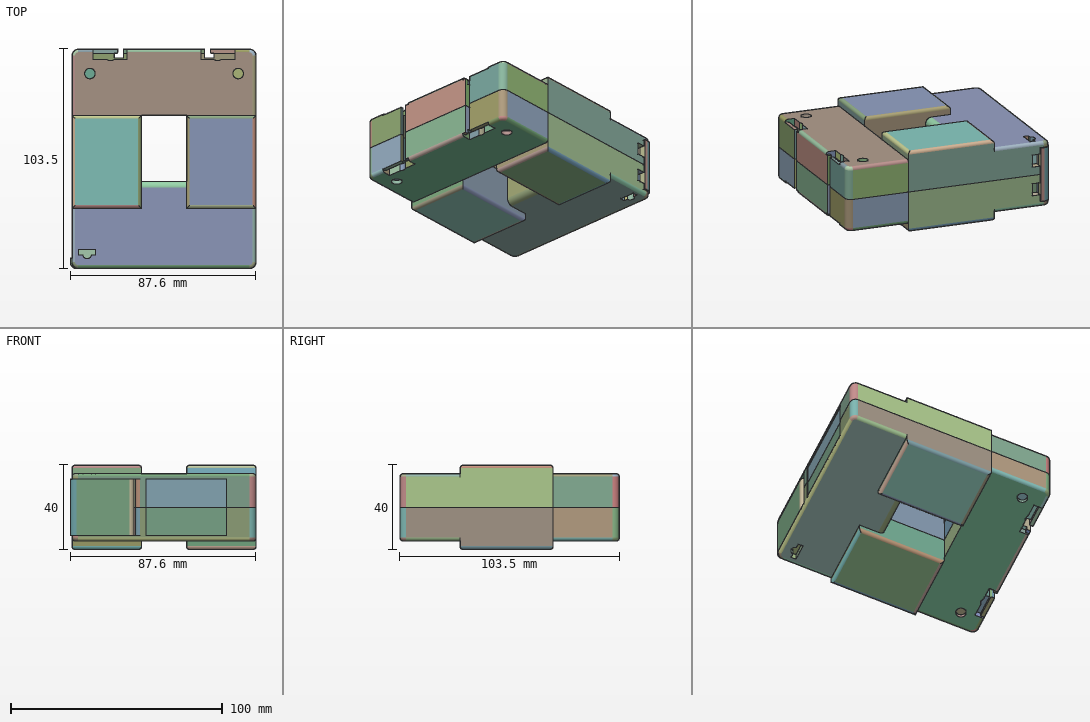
import cadquery as cq


length = 103.5
width = 86.8
half_height = 15.9
corner_radius = 3.0
edge_radius = 1.6
front_y = -length / 2
back_y = length / 2
left_x = -width / 2
split_y = back_y - 31.3

limb_half_height = 20.0
limb_length = 43.9
window_width = 21.2
window_length = 31.2
window_edge_radius = 3.0
limb_width = (width - window_width) / 2

screw_hole_diameter = 5.0
screw_hole_depth = 2.1
screw_hole_x = 35.0
screw_hole_y = back_y - 11.5

pocket_inner_x = 17.4
pocket_length = 16.1
pocket_width = 4.9
pocket_depth = 3.6
pocket_outer_x = pocket_inner_x + pocket_length
clip_wall = 2.0
clip_wall_drop = 1.3
clip_slot_x = pocket_inner_x + 1.8
clip_slot_length = 4.3
clip_slot_width = 2.1
clip_gap = 2.7
clip_tip_radius = 0.7
bulge_length = 3.5
bulge_height = 0.5

arrow_width = 8.0
arrow_bar = 2.5
arrow_round_diameter = 4.1
arrow_round_inset = 0.3
arrow_depth = 4.1
arrow_x = left_x + 7.1
arrow_bar_y = front_y + 6.4

label_left_x = left_x + 35.0
label_length = 37.9
label_depth = 0.5

cover_half_height = 13.4
cover_thickness = 3.1
cover_protrusion = 0.8
cover_corner_radius = 3.0
cover_side_length = 5.0
cover_end_radius = 2.1
cover_left_x = left_x - cover_protrusion
cover_right_x = left_x + 29.3
recess_gap = 0.7
recess_lip_radius = 2.1

latch_slot_length = 3.9
latch_slot_height = 6.0
latch_slot_depth = 4.1
latch_slot_z = 7.1


def block(x_min, x_max, y_min, y_max, z_min, z_max):
    """Box given by its limits along each axis."""
    size = (x_max - x_min, y_max - y_min, z_max - z_min)
    return cq.Workplane("XY").box(*size, centered=False).translate((x_min, y_min, z_min))


def both_sides(shape):
    """The shape together with its mirror image across the YZ plane."""
    return shape.union(shape.mirror("YZ"))


def upper_housing():
    """Rounded upper half of the housing, without the raised limbs."""
    body = block(left_x, -left_x, front_y, back_y, 0, half_height)
    return body.edges("|Z").fillet(corner_radius).faces(">Z").edges().fillet(edge_radius)


def limb():
    """Left raised limb, rounded around its top face."""
    body = block(left_x, left_x + limb_width, split_y - limb_length, split_y, 0, limb_half_height)
    return body.faces(">Z").edges().fillet(edge_radius)


def screw_holes():
    hole = (
        cq.Workplane("XY", origin=(screw_hole_x, screw_hole_y, half_height - screw_hole_depth))
        .circle(screw_hole_diameter / 2)
        .extrude(screw_hole_depth)
    )
    return both_sides(hole)


def clip_pockets():
    """Stepped pocket behind a lowered clip wall, with a hooked slot right through."""
    pocket_y = back_y - pocket_width
    wall_y = back_y - clip_wall
    slot_outer_x = clip_slot_x + clip_slot_length
    gap_outer_x = clip_slot_x + clip_gap
    floor_z = half_height - pocket_depth

    wall_top = block(
        pocket_inner_x, pocket_outer_x, wall_y, back_y, half_height - clip_wall_drop, half_height
    )
    pocket = block(pocket_inner_x, pocket_outer_x, pocket_y, wall_y, floor_z, half_height)
    bulge = (
        cq.Workplane("XY", origin=(0, 0, floor_z))
        .moveTo(slot_outer_x, pocket_y)
        .threePointArc(
            (slot_outer_x + bulge_length / 2, pocket_y - bulge_height),
            (slot_outer_x + bulge_length, pocket_y),
        )
        .close()
        .extrude(pocket_depth)
    )
    slot = (
        cq.Workplane("XY")
        .moveTo(clip_slot_x, back_y)
        .lineTo(clip_slot_x, wall_y - clip_slot_width)
        .lineTo(slot_outer_x, wall_y - clip_slot_width)
        .lineTo(slot_outer_x, wall_y)
        .lineTo(gap_outer_x + clip_tip_radius, wall_y)
        .radiusArc((gap_outer_x, wall_y + clip_tip_radius), clip_tip_radius)
        .lineTo(gap_outer_x, back_y)
        .close()
        .extrude(half_height)
    )
    return both_sides(wall_top.union(pocket).union(bulge).union(slot))


def arrow_pocket():
    """Bar with a round nose pointing to the front."""
    floor_z = half_height - arrow_depth
    bar = block(
        arrow_x - arrow_width / 2, arrow_x + arrow_width / 2,
        arrow_bar_y, arrow_bar_y + arrow_bar, floor_z, half_height,
    )
    nose = (
        cq.Workplane("XY", origin=(arrow_x, arrow_bar_y + arrow_round_inset, floor_z))
        .circle(arrow_round_diameter / 2)
        .extrude(arrow_depth)
    )
    return bar.union(nose)


def corner_block(right_x):
    """L-shaped block around the front left corner, its front leg ending at right_x."""
    front_leg = block(
        cover_left_x, right_x, front_y, front_y + cover_thickness,
        -cover_half_height, cover_half_height,
    )
    side_leg = block(
        cover_left_x, cover_left_x + cover_thickness, front_y, front_y + cover_side_length,
        -cover_half_height, cover_half_height,
    )
    return front_leg.union(side_leg)


def cover_recess():
    """Seat of the cover, flared at its right end by a rounded lip."""
    right_x = cover_right_x + recess_gap
    lip = (
        cq.Workplane("XY", origin=(right_x, front_y, -cover_half_height))
        .lineTo(recess_lip_radius, 0)
        .radiusArc((0, recess_lip_radius), recess_lip_radius)
        .close()
        .extrude(2 * cover_half_height)
    )
    return corner_block(right_x).union(lip)


def label_recess():
    return block(
        label_left_x, label_left_x + label_length, front_y, front_y + label_depth,
        -cover_half_height, cover_half_height,
    )


def latch_slot():
    slot_y = front_y + cover_side_length
    return block(
        left_x, left_x + latch_slot_depth, slot_y, slot_y + latch_slot_length,
        latch_slot_z - latch_slot_height / 2, latch_slot_z + latch_slot_height / 2,
    )


def make_back_shell():
    """Upper back shell, with the screw holes and the clip pockets."""
    region = block(left_x, -left_x, split_y, back_y, 0, half_height)
    return upper_housing().intersect(region).cut(screw_holes()).cut(clip_pockets())


def make_front_shell():
    """Upper U-shaped front shell, with the limbs, the window and the cover seat."""
    window_y = split_y - window_length
    region = block(left_x, -left_x, front_y, split_y, 0, half_height)
    window = block(-window_width / 2, window_width / 2, window_y, split_y, 0, half_height)
    body = upper_housing().intersect(region).cut(window)
    window_edge = cq.selectors.NearestToPointSelector((0, window_y, half_height))
    body = body.edges(window_edge).fillet(window_edge_radius)
    body = body.union(both_sides(limb()))
    return body.cut(arrow_pocket()).cut(label_recess()).cut(cover_recess()).cut(latch_slot())


def make_corner_cover():
    """Cover on the front left corner, with a round corner and a round right end."""
    outer_corner = cq.selectors.NearestToPointSelector((cover_left_x, front_y, 0))
    right_end = cq.selectors.NearestToPointSelector((cover_right_x, front_y, 0))
    body = corner_block(cover_right_x).edges(outer_corner).fillet(cover_corner_radius)
    return body.edges(right_end).fillet(cover_end_radius)


upper_back_shell = make_back_shell()
lower_back_shell = upper_back_shell.mirror("XY")
upper_front_shell = make_front_shell()
lower_front_shell = upper_front_shell.mirror("XY")
corner_cover = make_corner_cover()

result = cq.Compound.makeCompound([
    upper_back_shell.val(),
    lower_back_shell.val(),
    upper_front_shell.val(),
    lower_front_shell.val(),
    corner_cover.val(),
])